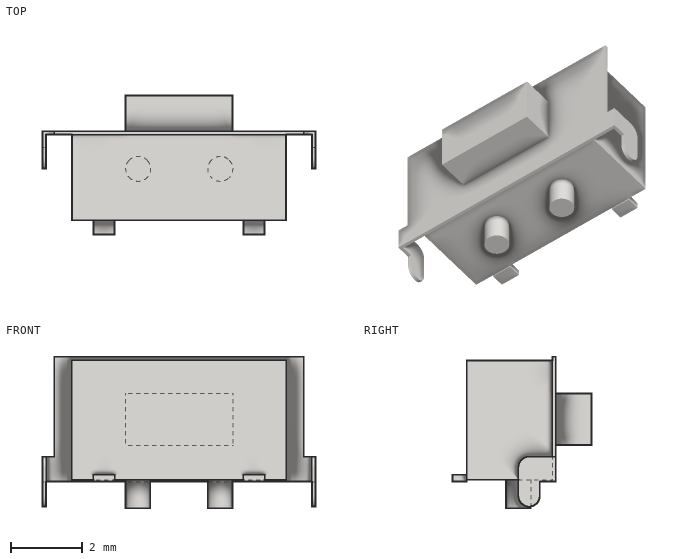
import cadquery as cq
import math


body_width = 6.0
body_depth = 2.4
body_height = 3.35
body_lift = 0.05

sheet = 0.1
plate_width = 7.0
plate_height = 3.5
shield_width = 7.65
ear_height = 0.7

leg_depth = 1.05
leg_foot_width = 0.6
leg_drop = 0.7
leg_corner_radius = 0.3

button_width = 3.0
button_height = 1.45
button_length = 1.0
button_center_z = plate_height / 2

pin_diameter = 0.7
pin_spacing = 2.3
pin_setback = 1.05
pin_drop = 0.75

terminal_width = 0.6
terminal_length = 0.4
terminal_thickness = 0.2
terminal_spacing = 4.2

plate_front_y = sheet


def block(width, y_min, y_max, z_min, z_max, center_x=0):
    """Box centred on center_x that spans the given Y and Z ranges."""
    return cq.Workplane("XY").box(
        width, y_max - y_min, z_max - z_min, centered=(True, False, False)
    ).translate((center_x, y_min, z_min))


def make_body():
    return block(body_width, -body_depth, 0, body_lift, body_lift + body_height)


def make_plate():
    plate = block(plate_width, 0, plate_front_y, 0, plate_height)
    ears = block(shield_width, 0, plate_front_y, 0, ear_height)
    return plate.union(ears)


def make_leg(x_min):
    """Side leg bent back from the plate, with a round-ended foot."""
    back_y = plate_front_y - leg_depth
    foot_y = back_y + leg_foot_width
    foot_radius = leg_foot_width / 2
    round_start_z = -leg_drop + foot_radius
    corner_offset = leg_corner_radius * (1 - math.sin(math.pi / 4))
    return (
        cq.Workplane("YZ", origin=(x_min, 0, 0))
        .moveTo(plate_front_y, 0)
        .lineTo(plate_front_y, ear_height)
        .lineTo(back_y + leg_corner_radius, ear_height)
        .threePointArc(
            (back_y + corner_offset, ear_height - corner_offset),
            (back_y, ear_height - leg_corner_radius),
        )
        .lineTo(back_y, round_start_z)
        .threePointArc((back_y + foot_radius, -leg_drop), (foot_y, round_start_z))
        .lineTo(foot_y, 0)
        .close()
        .extrude(sheet)
    )


def make_button():
    return block(
        button_width,
        plate_front_y,
        plate_front_y + button_length,
        button_center_z - button_height / 2,
        button_center_z + button_height / 2,
    )


def make_pin(center_x):
    """Round locating pin under the body."""
    return (
        cq.Workplane("XY", origin=(center_x, plate_front_y - pin_setback, -pin_drop))
        .circle(pin_diameter / 2)
        .extrude(pin_drop + body_lift)
    )


def make_terminal(center_x):
    """Flat solder terminal that projects from the rear face of the body."""
    return block(
        terminal_width, -body_depth - terminal_length, -body_depth, 0, terminal_thickness, center_x
    )


result = make_body().union(make_plate()).union(make_button())
for leg_x in (-shield_width / 2, shield_width / 2 - sheet):
    result = result.union(make_leg(leg_x))
for side in (-1, 1):
    result = result.union(make_pin(side * pin_spacing / 2))
    result = result.union(make_terminal(side * terminal_spacing / 2))